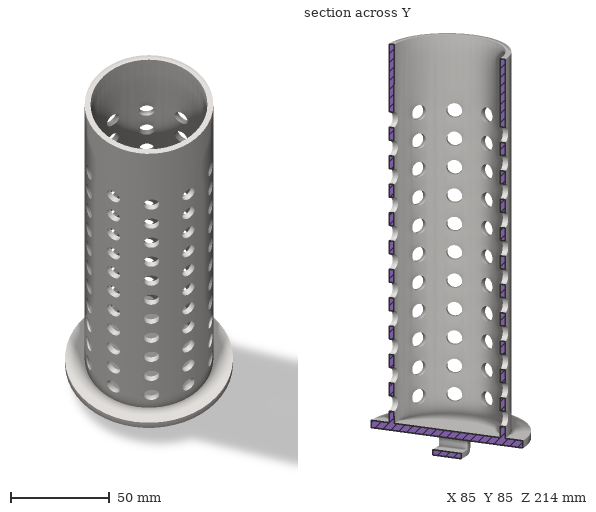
import cadquery as cq

total_height = 214.0

flange_diameter = 85.0
flange_thickness = 4.0
tube_outer_diameter = 65.0
tube_inner_diameter = 59.0

hole_diameter = 8.0
hole_row_count = 11
hole_row_pitch = 15.0
first_row_above_flange = 10.0
holes_per_row = 10

handle_drop = 10.0
handle_width = 16.0
handle_wall = 3.0
handle_opening = 15.0
handle_corner_radius = 3.0
handle_root_radius = 3.0

flange_bottom = handle_drop
flange_top = flange_bottom + flange_thickness
tube_height = total_height - flange_top


def flange():
    """Solid disc that also closes the bottom of the tube."""
    return (
        cq.Workplane("XY", origin=(0, 0, flange_bottom))
        .circle(flange_diameter / 2)
        .extrude(flange_thickness)
    )


def tube():
    """Open-topped tube standing on the flange."""
    return (
        cq.Workplane("XY", origin=(0, 0, flange_top))
        .circle(tube_outer_diameter / 2)
        .circle(tube_inner_diameter / 2)
        .extrude(tube_height)
    )


def hole_pins():
    """Radial pins through one wall each, in evenly spaced rows starting on the X axis."""
    pin_start = tube_inner_diameter / 4
    pin_length = tube_outer_diameter / 2
    pins = []
    for row in range(hole_row_count):
        height = flange_top + first_row_above_flange + row * hole_row_pitch
        pin = cq.Workplane("YZ", origin=(pin_start, 0, height)).circle(hole_diameter / 2).extrude(pin_length)
        for index in range(holes_per_row):
            angle = index * 360 / holes_per_row
            pins.append(pin.rotate((0, 0, 0), (0, 0, 1), angle).val())
    return cq.Workplane(cq.Compound.makeCompound(pins))


def handle():
    """U-shaped loop with rounded lower corners and flared roots."""
    outer_half = handle_opening / 2 + handle_wall
    root_half = outer_half + handle_root_radius
    root_bottom = flange_bottom - handle_root_radius
    corner_half = outer_half - handle_corner_radius
    loop = (
        cq.Workplane("YZ")
        .moveTo(-root_half, flange_bottom)
        .radiusArc((-outer_half, root_bottom), handle_root_radius)
        .lineTo(-outer_half, handle_corner_radius)
        .radiusArc((-corner_half, 0), -handle_corner_radius)
        .lineTo(corner_half, 0)
        .radiusArc((outer_half, handle_corner_radius), -handle_corner_radius)
        .lineTo(outer_half, root_bottom)
        .radiusArc((root_half, flange_bottom), handle_root_radius)
        .close()
        .extrude(handle_width / 2, both=True)
    )
    opening_height = handle_drop - handle_wall
    opening = cq.Workplane("XY", origin=(0, 0, handle_wall)).box(
        handle_width, handle_opening, opening_height, centered=(True, True, False)
    )
    return loop.cut(opening)


perforated_tube = tube().cut(hole_pins())

result = flange().union(perforated_tube).union(handle())